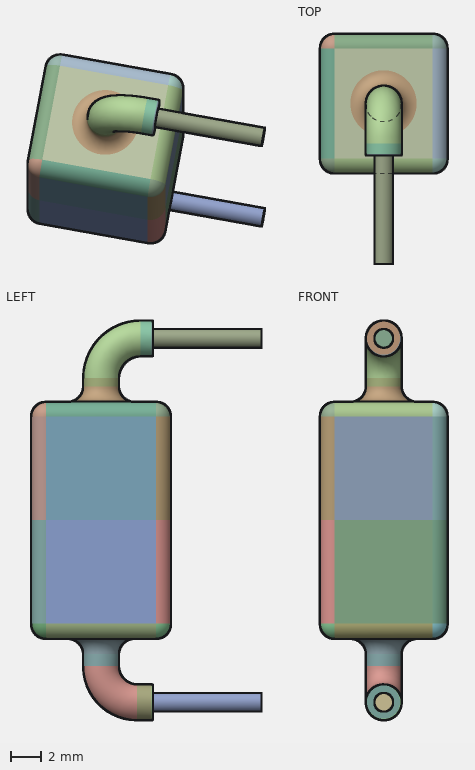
import cadquery as cq
import math

body_width = 8.5
body_depth = 9.3
body_height = 15.75
body_fillet = 1.0
body_half_height = body_height / 2

flare_radius = 1.0

lead_axis_height = 4.2
sleeve_diameter = 2.4
sleeve_radius = sleeve_diameter / 2
sleeve_reach = 3.45
sleeve_end_fillet = 0.1
wire_diameter = 1.25
wire_reach = 10.65
upper_bend_radius = 2.65
lower_bend_radius = 2.4


def make_body():
    """Rounded block of two halves; their faces stay separate along the seam at Z = 0."""
    upper_half = (
        cq.Workplane("XY")
        .rect(body_width, body_depth)
        .extrude(body_half_height)
        .edges("|Z or >Z")
        .fillet(body_fillet)
    )
    lower_half = upper_half.mirror("XY")
    return upper_half.union(lower_half, clean=False)


def make_neck():
    """Neck standing on the upper end face, with a concave flare at its foot."""
    foot_radius = sleeve_radius + flare_radius
    arc_offset = flare_radius * math.sin(math.radians(45))
    flare_top = body_half_height + flare_radius
    profile = (
        cq.Workplane("XZ")
        .moveTo(0, 0)
        .lineTo(foot_radius, 0)
        .lineTo(foot_radius, body_half_height)
        .threePointArc(
            (foot_radius - arc_offset, flare_top - arc_offset),
            (sleeve_radius, flare_top),
        )
        .lineTo(0, flare_top)
        .close()
    )
    return profile.revolve(360, (0, 0, 0), (0, 1, 0))


def make_lead(bend_radius):
    """Upper lead: bent sleeve with a rounded end, and the bare wire beyond it."""
    axis_z = body_half_height + lead_axis_height
    bend_start_z = axis_z - bend_radius

    riser = cq.Workplane("XY").circle(sleeve_radius).extrude(bend_start_z)
    bend = (
        cq.Workplane("XY", origin=(0, 0, bend_start_z))
        .circle(sleeve_radius)
        .revolve(90, (0, -bend_radius, 0), (1, -bend_radius, 0))
    )
    sleeve_end = (
        cq.Workplane("XZ", origin=(0, -bend_radius, axis_z))
        .circle(sleeve_radius)
        .extrude(sleeve_reach - bend_radius)
        .faces("<Y")
        .edges()
        .fillet(sleeve_end_fillet)
    )
    wire = (
        cq.Workplane("XZ", origin=(0, -bend_radius, axis_z))
        .circle(wire_diameter / 2)
        .extrude(wire_reach - bend_radius)
    )
    return riser.union(bend).union(sleeve_end).union(wire)


def make_terminal(bend_radius):
    """Neck and lead on the upper end of the body."""
    return make_neck().union(make_lead(bend_radius))


upper_terminal = make_terminal(upper_bend_radius)
lower_terminal = make_terminal(lower_bend_radius).mirror("XY")

result = make_body().union(upper_terminal, clean=False).union(lower_terminal, clean=False)